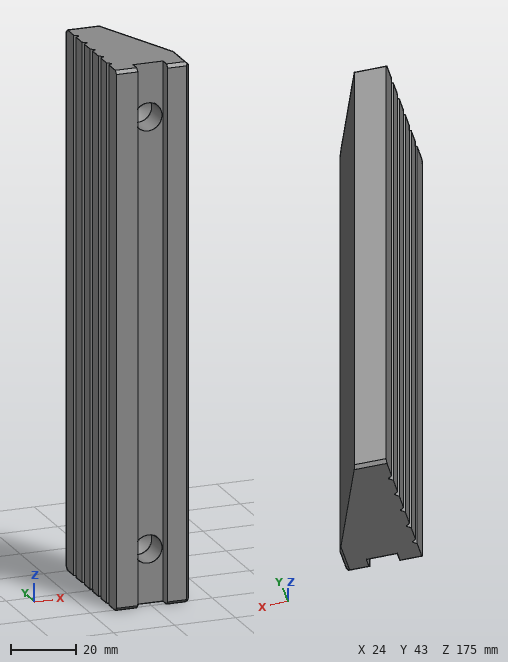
import cadquery as cq
import math

length = 175.0
width = 24.0
depth = 43.0
back_width = 10.0
side_depth = 8.8
chamfer = 1.0

slot_left = 7.0
slot_width = 9.8
slot_depth = 4.0
slot_center = slot_left + slot_width / 2

groove_count = 5
groove_pitch = 7.0
groove_depth = 1.2
groove_half_width = 1.0

hole_diameter = 9.1
hole_end_distance = 17.5
hole_straight_depth = 8.8
drill_point_angle = 118.0


def make_body():
    """Wedge with its front, side and back faces bevelled at both ends."""
    outline = [
        (0, 0),
        (width - chamfer, 0),
        (width, chamfer),
        (width, side_depth),
        (back_width, depth),
        (0, depth),
    ]
    wedge = cq.Workplane("XY").polyline(outline).close().extrude(length)
    block = cq.Workplane("XY").box(width, depth, length, centered=False)
    front_back_bevels = block.edges("|X").chamfer(chamfer)
    side_bevels = block.edges("|Y and >X").chamfer(chamfer)
    return wedge.intersect(front_back_bevels).intersect(side_bevels)


def make_slot():
    slot = cq.Workplane("XY").box(slot_width, slot_depth, length, centered=False)
    return slot.translate((slot_left, 0, 0))


def make_groove(y):
    """V-shaped cutter running the full length, centred at y."""
    section = [
        (0, y - groove_half_width),
        (groove_depth, y),
        (0, y + groove_half_width),
    ]
    return cq.Workplane("XY").polyline(section).close().extrude(length)


def make_hole(z):
    """Round hole into the slot floor, ending in a drill point."""
    radius = hole_diameter / 2
    point_depth = radius / math.tan(math.radians(drill_point_angle / 2))
    shoulder = slot_depth + hole_straight_depth
    half_section = [
        (0, 0),
        (radius, 0),
        (radius, shoulder),
        (0, shoulder + point_depth),
    ]
    drill = cq.Workplane("XY").polyline(half_section).close().revolve(360, (0, 0, 0), (0, 1, 0))
    return drill.translate((slot_center, 0, z))


result = make_body().cut(make_slot())

for index in range(groove_count):
    offset = (index - (groove_count - 1) / 2) * groove_pitch
    result = result.cut(make_groove(depth / 2 + offset))

for hole_z in (hole_end_distance, length - hole_end_distance):
    result = result.cut(make_hole(hole_z))